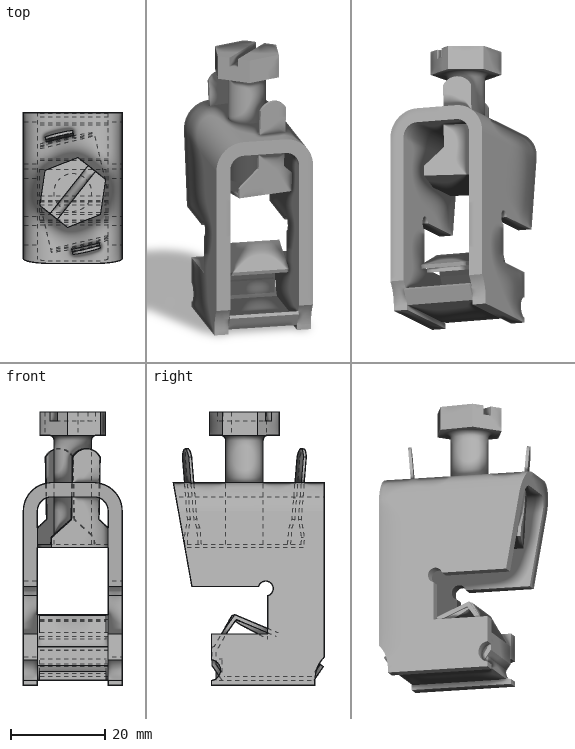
import cadquery as cq
import math


housing_width = 21.0
wall = 3.0
bend_radius = 6.05
housing_top = 43.0
back_y = 16.95
front_top_y = -15.1
jaw_front_y = -11.15
mouth_top = 20.95
mouth_bottom = 10.9
mouth_back_y = 4.95
relief_radius = 1.55
relief_y = 4.5
relief_z = 20.55
foot_front_y = -7.0
foot_notch_radius = 2.2
foot_notch_y = -7.25
foot_notch_z = 3.25
heel_radius = 6.9
heel_y = 14.95
heel_z = 1.15
inner_width = housing_width - 2 * wall

shank_radius = 4.0
screw_top = 58.0
head_height = 5.0
head_across_flats = 13.0
head_fillet = 1.05
slot_width = 2.0
slot_depth = 2.0
slot_angle = 51.6

plate_angle = 13.3
plate_thickness = 0.65
plate_bottom = 29.25
plate_half_width = 7.3
leg_offset = 11.2
leg_lean = 4.8
shoulder_bottom = 31.3
shoulder_top = 35.2
tongue_top = 50.2
tongue_width = 6.0
tongue_crown = 1.8

clip_thickness = 0.85
clip_bottom = 1.05
band_width = 14.05
ridge = (-2.05, 15.0)
band_front_top = (-2.65, 14.8)
leg_foot = (-6.4, 8.25)
lip_top = (-6.9, 8.1)
knee_z = 11.2
band_front_slope = (leg_foot[0] - band_front_top[0]) / (leg_foot[1] - band_front_top[1])
knee = (leg_foot[0] + band_front_slope * (knee_z - leg_foot[1]), knee_z)
lip_bottom = (-6.9, 4.25)
floor_front_y = -4.7
floor_back_y = 14.75
clip_path = [
    (7.1, 11.2),
    ridge,
    knee,
    leg_foot,
    lip_top,
    lip_bottom,
    (floor_front_y, clip_bottom),
    (floor_back_y, clip_bottom),
    (16.75, 4.0),
]
rib_outline = [
    (-1.85, 13.9),
    (-1.85, 13.5),
    (-0.85, 12.9),
    (4.9, 9.85),
    (4.9, 11.6),
]
tab_front_y = -6.05
tab_top = 5.55


def extruded_along_x(outline, width):
    """Extrude a closed (y, z) sketch by the given width, centred on X = 0."""
    return outline.close().extrude(width / 2, both=True)


def box_between(x_range, y_range, z_range):
    lengths = [high - low for low, high in (x_range, y_range, z_range)]
    return cq.Workplane("XY").box(*lengths, centered=False).translate(
        (x_range[0], y_range[0], z_range[0])
    )


def thick_path(path, thickness):
    """Outline of a folded strip whose outer face follows the path, with its thickness to the left."""
    directions = [math.atan2(q[1] - p[1], q[0] - p[0]) for p, q in zip(path, path[1:])]
    before = directions[:1] + directions
    after = directions + directions[-1:]
    inner = []
    for (y, z), angle_in, angle_out in zip(path, before, after):
        middle = math.atan2(
            math.sin(angle_in) + math.sin(angle_out), math.cos(angle_in) + math.cos(angle_out)
        )
        reach = thickness / math.cos(angle_out - middle)
        inner.append((y - reach * math.sin(middle), z + reach * math.cos(middle)))
    return path + inner[::-1]


def make_screw():
    head_bottom = screw_top - head_height
    base_top = plate_bottom + plate_thickness
    shank = (
        cq.Workplane("XY").workplane(offset=base_top)
        .circle(shank_radius).extrude(head_bottom - base_top)
    )
    head = (
        cq.Workplane("XY").workplane(offset=head_bottom)
        .polygon(6, head_across_flats, circumscribed=True).extrude(head_height)
        .rotate((0, 0, 0), (0, 0, 1), slot_angle)
    )
    slot = (
        cq.Workplane("XY").workplane(offset=screw_top - slot_depth)
        .rect(2 * head_across_flats, slot_width).extrude(slot_depth)
        .rotate((0, 0, 0), (0, 0, 1), slot_angle)
    )
    neck = cq.selectors.NearestToPointSelector((0, 0, head_bottom))
    screw = head.union(shank).edges("%CIRCLE").edges(neck).fillet(head_fillet)
    return screw.cut(slot)


def make_leg():
    """Upright leg on the +Y side, drawn flat and then leaned outwards about its bottom outer edge."""
    shoulder_half = tongue_width / 2
    outline = [
        (plate_half_width, plate_bottom),
        (plate_half_width, shoulder_bottom),
        (shoulder_half, shoulder_top),
        (shoulder_half, tongue_top - tongue_crown),
    ]
    mirrored = [(-x, z) for x, z in outline]
    leg = (
        cq.Workplane("XZ", origin=(0, leg_offset, 0))
        .polyline(mirrored[::-1] + outline)
        .threePointArc((0, tongue_top), mirrored[-1]).close()
        .extrude(plate_thickness)
    )
    return leg.rotate((0, leg_offset, plate_bottom), (-1, leg_offset, plate_bottom), leg_lean)


def make_pressure_plate():
    base = box_between(
        (-plate_half_width, plate_half_width),
        (-leg_offset, leg_offset),
        (plate_bottom, plate_bottom + plate_thickness),
    )
    leg = make_leg()
    plate = base.union(leg).union(leg.rotate((0, 0, 0), (0, 0, 1), 180))
    plate = plate.rotate((0, 0, 0), (0, 0, 1), plate_angle)
    room = box_between((-inner_width / 2, inner_width / 2), (front_top_y, back_y), (0, screw_top))
    return plate.intersect(room)


def make_spring_clip():
    strip = extruded_along_x(cq.Workplane("YZ").polyline(thick_path(clip_path, clip_thickness)), inner_width)
    raised_front = extruded_along_x(
        cq.Workplane("YZ").polyline([ridge, band_front_top, knee]), band_width
    )
    rib = extruded_along_x(cq.Workplane("YZ").polyline(rib_outline), band_width)
    tab = box_between(
        (-band_width / 2, band_width / 2),
        (tab_front_y, floor_front_y),
        (clip_bottom, tab_top),
    )
    return strip.union(raised_front).union(rib).union(tab)


def round_cut(y, z, radius):
    """Cylinder along X through both housing walls."""
    return cq.Workplane("YZ").center(y, z).circle(radius).extrude(housing_width / 2, both=True)


def make_housing(screw, plate):
    half_width = housing_width / 2
    strap = (
        cq.Workplane("XZ", origin=(0, back_y, 0)).rect(housing_width, 2 * housing_top)
        .extrude(back_y - front_top_y).edges("|Y").edges(">Z").fillet(bend_radius)
    )
    inside = (
        cq.Workplane("XZ", origin=(0, back_y, 0)).rect(inner_width, 2 * (housing_top - wall))
        .extrude(back_y - front_top_y).edges("|Y").edges(">Z").fillet(bend_radius - wall)
    )
    side = extruded_along_x(
        cq.Workplane("YZ").polyline([
            (back_y, 0),
            (back_y, housing_top),
            (front_top_y, housing_top),
            (jaw_front_y, mouth_top),
            (mouth_back_y, mouth_top),
            (mouth_back_y, mouth_bottom),
            (foot_front_y, mouth_bottom),
            (foot_front_y, 0),
        ]),
        housing_width,
    )
    housing = strap.cut(inside).intersect(side)

    heel = round_cut(heel_y + heel_radius, heel_z, heel_radius).union(
        box_between((-half_width, half_width), (heel_y, back_y), (0, heel_z))
    )
    housing = (
        housing.cut(round_cut(relief_y, relief_z, relief_radius))
        .cut(round_cut(foot_notch_y, foot_notch_z, foot_notch_radius))
        .cut(heel)
    )
    return housing.cut(screw).cut(plate)


screw = make_screw()
pressure_plate = make_pressure_plate()
spring_clip = make_spring_clip()
housing = make_housing(screw, pressure_plate)

bodies = [housing, screw, pressure_plate, spring_clip]
result = cq.Compound.makeCompound([body.solids().val() for body in bodies])